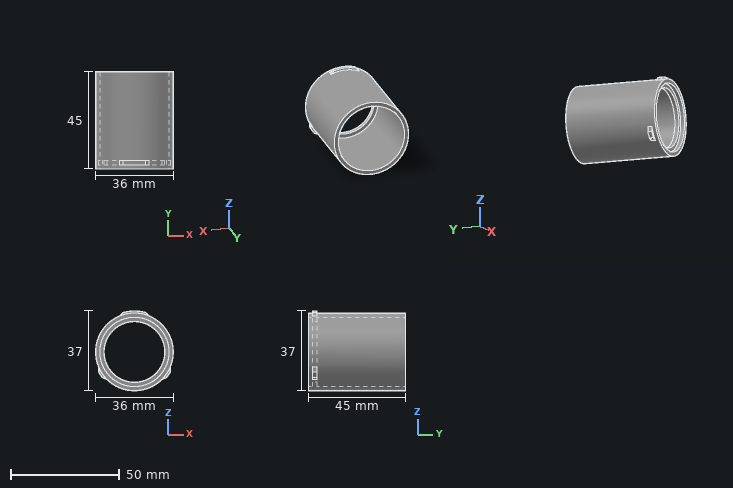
import cadquery as cq
import math

length = 45.0
outer_radius = 18.0
socket_radius = 16.0
bore_radius = 14.0

collar_start = 2.0
collar_width = 2.02
collar_end = collar_start + collar_width

lug_radius = 19.0
top_lug_base_width = 13.7
top_lug_crest_width = 10.45
side_lug_base_width = 7.1
side_lug_crest_width = 3.2
side_lug_angle = 124.0
lug_root_radius = 16.65


def cylinder(radius, start, end):
    """Cylinder along Y between two Y positions."""
    plane = cq.Workplane("XZ", origin=(0, start, 0))
    return plane.circle(radius).extrude(start - end)


def height_at(radius, half_width):
    """Height of a circle above its centre, at a sideways offset."""
    return math.sqrt(radius**2 - half_width**2)


def lug(base_width, crest_width, angle):
    """Taper-sided lug with a round crest, turned about Y from the top."""
    half_base = base_width / 2
    half_crest = crest_width / 2
    base_z = height_at(outer_radius, half_base)
    crest_z = height_at(lug_radius, half_crest)
    root_z = height_at(lug_root_radius, half_base)
    profile = (
        cq.Workplane("XZ", origin=(0, collar_start, 0))
        .moveTo(-half_base, root_z)
        .lineTo(-half_base, base_z)
        .lineTo(-half_crest, crest_z)
        .threePointArc((0, lug_radius), (half_crest, crest_z))
        .lineTo(half_base, base_z)
        .lineTo(half_base, root_z)
        .close()
    )
    return profile.extrude(-collar_width).rotate((0, 0, 0), (0, 1, 0), angle)


result = cylinder(outer_radius, 0, length)
result = result.cut(cylinder(bore_radius, 0, length))
result = result.cut(cylinder(socket_radius, 0, collar_start))
result = result.cut(cylinder(socket_radius, collar_end, length))

result = result.union(lug(top_lug_base_width, top_lug_crest_width, 0))
for angle in (-side_lug_angle, side_lug_angle):
    result = result.union(lug(side_lug_base_width, side_lug_crest_width, angle))